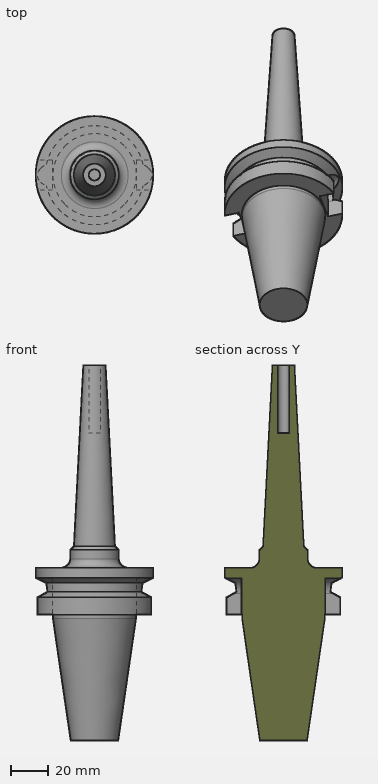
import cadquery as cq
import math

total_height = 200.5
gauge_z = 65.3
flange_bottom_z = 67.3
flange_top_z = 92.4
neck_top_z = 101.8

gauge_radius = 22.2
taper_ratio = 7 / 24
shank_end_radius = gauge_radius - gauge_z * taper_ratio / 2

flange_radius = 31.5
groove_center_z = 81.8
groove_floor_radius = 26.5
groove_floor_width = 4.8
groove_wall_angle = 30.0
groove_wall_height = (flange_radius - groove_floor_radius) * math.tan(math.radians(groove_wall_angle))
groove_floor_half = groove_floor_width / 2
groove_mouth_half = groove_floor_half + groove_wall_height

neck_radius = 13.0
neck_fillet = 4.8
neck_chamfer = 2.0
nose_base_radius = neck_radius - neck_chamfer
nose_tip_radius = 6.0
bore_radius = 3.0
bore_depth = 36.0

slot_width = 16.0
slot_floor_x = 22.5
slot_top_z = 86.5


def holder_body():
    """Revolve the half profile (radius, height) about the Z axis."""
    fillet_mid_offset = neck_fillet * (1 - math.sqrt(0.5))
    profile = (
        cq.Workplane("XZ")
        .lineTo(shank_end_radius, 0)
        .lineTo(gauge_radius, gauge_z)
        .lineTo(gauge_radius, flange_bottom_z)
        .lineTo(flange_radius, flange_bottom_z)
        .lineTo(flange_radius, groove_center_z - groove_mouth_half)
        .lineTo(groove_floor_radius, groove_center_z - groove_floor_half)
        .lineTo(groove_floor_radius, groove_center_z + groove_floor_half)
        .lineTo(flange_radius, groove_center_z + groove_mouth_half)
        .lineTo(flange_radius, flange_top_z)
        .lineTo(neck_radius + neck_fillet, flange_top_z)
        .threePointArc(
            (neck_radius + fillet_mid_offset, flange_top_z + fillet_mid_offset),
            (neck_radius, flange_top_z + neck_fillet),
        )
        .lineTo(neck_radius, neck_top_z)
        .lineTo(nose_base_radius, neck_top_z + neck_chamfer)
        .lineTo(nose_tip_radius, total_height)
        .lineTo(0, total_height)
        .close()
    )
    return profile.revolve(360, (0, 0, 0), (0, 1, 0))


def drive_slot(side):
    """Round-topped slot cutter, open at the flange bottom; side is +1 or -1 along X."""
    half_width = slot_width / 2
    arc_center_z = slot_top_z - half_width
    return (
        cq.Workplane("YZ", origin=(side * slot_floor_x, 0, 0))
        .moveTo(-half_width, flange_bottom_z)
        .lineTo(half_width, flange_bottom_z)
        .lineTo(half_width, arc_center_z)
        .threePointArc((0, slot_top_z), (-half_width, arc_center_z))
        .close()
        .extrude(side * flange_radius)
    )


def nose_bore():
    """Blind flat-bottomed bore running down from the nose tip."""
    return (
        cq.Workplane("XY", origin=(0, 0, total_height - bore_depth))
        .circle(bore_radius)
        .extrude(bore_depth)
    )


result = holder_body().cut(nose_bore())
for slot_side in (-1, 1):
    result = result.cut(drive_slot(slot_side))